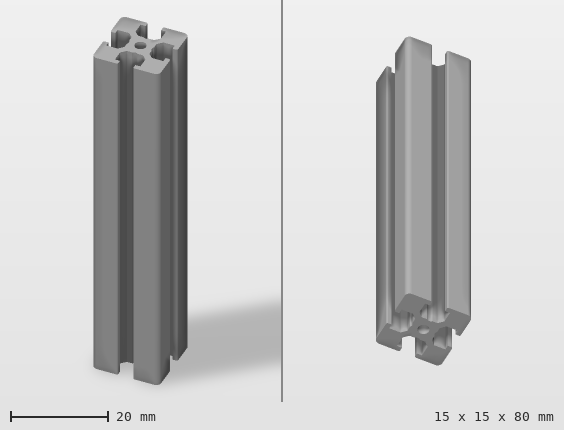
import cadquery as cq

length = 80.0
side = 15.0
corner_radius = 1.1
bore_diameter = 2.5

mouth_width = 3.4
lip_thickness = 1.1
lip_edge_radius = 0.3
pocket_width = 5.7
core_width = 5.6
pocket_chamfer = 1.0
groove_width = 1.2
groove_depth = 0.2

half_side = side / 2


def make_bar():
    bar = cq.Workplane("XY").rect(side, side).extrude(length)
    return bar.edges("|Z").fillet(corner_radius)


def make_slot():
    """T-slot cutter for the +Y side, with rounded mouth edges."""
    half_mouth = mouth_width / 2
    half_pocket = pocket_width / 2
    half_groove = groove_width / 2
    groove_radius = (half_groove**2 + groove_depth**2) / (2 * groove_depth)
    floor_y = core_width / 2
    lip_y = half_side - lip_thickness
    right_half = (
        cq.Workplane("XY")
        .moveTo(0, half_side)
        .lineTo(half_mouth + lip_edge_radius, half_side)
        .radiusArc((half_mouth, half_side - lip_edge_radius), -lip_edge_radius)
        .lineTo(half_mouth, lip_y)
        .lineTo(half_pocket, lip_y)
        .lineTo(half_pocket, floor_y + pocket_chamfer)
        .lineTo(half_pocket - pocket_chamfer, floor_y)
        .lineTo(half_groove, floor_y)
        .radiusArc((0, floor_y - groove_depth), groove_radius)
        .close()
        .extrude(length)
    )
    return right_half.union(right_half.mirror("YZ"))


def make_bore():
    return cq.Workplane("XY").circle(bore_diameter / 2).extrude(length)


result = make_bar().cut(make_bore())
slot = make_slot()
for angle in (0, 90, 180, 270):
    result = result.cut(slot.rotate((0, 0, 0), (0, 0, 1), angle))